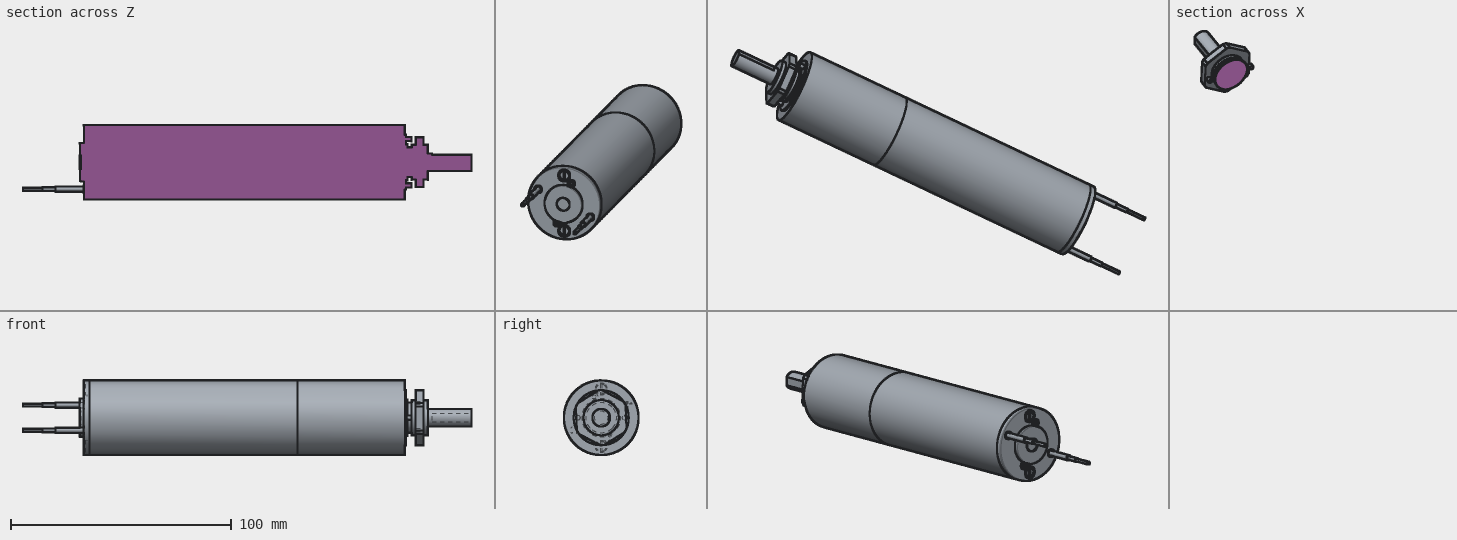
import cadquery as cq
import math


gearbox_diameter = 34.0
motor_diameter = 33.99
gearbox_length = 48.7
motor_length = 94.4
end_cap_length = 2.6
end_cap_edge_radius = 0.3
motor_rear_x = -(gearbox_length + motor_length)
rear_face_x = motor_rear_x - end_cap_length

rear_boss_diameter = 17.5
rear_boss_length = 1.8
rear_boss_edge_radius = 0.2
bearing_hole_diameter = 6.0
bearing_hole_depth = 0.5

screw_pitch_radius = 13.0
screw_recess_diameter = 5.5
screw_recess_depth = 0.8
screw_head_diameter = 4.6
screw_head_height = 0.6
screw_slot_width = 0.6
screw_slot_depth = 0.4

cap_hole_diameter = 1.8
cap_hole_depth = 1.5
cap_counterbore_diameter = 3.5
cap_counterbore_depth = 0.5
cap_hole_pitch_radius = 10.0
cap_hole_angle = 109.0

lead_reach = 27.6
lead_pitch_radius = 13.5
lead_recess_diameter = 3.5
lead_recess_depth = 0.5
lead_angle = 25.0
insulation_diameter = 2.5
inner_sleeve_diameter = 1.8
conductor_diameter = 1.4
inner_sleeve_length = 5.8
conductor_length = 9.0
insulation_length = lead_reach - inner_sleeve_length - conductor_length

flange_diameter = 25.0
flange_thickness = 0.6
collar_diameter = 16.5
collar_thickness = 0.6
neck_diameter = 13.8
neck_length = 1.9
bushing_diameter = 16.0
bushing_length = 7.3
collar_x = flange_thickness
neck_x = collar_x + collar_thickness
bushing_x = neck_x + neck_length
bushing_end_x = bushing_x + bushing_length

pin_diameter = 2.0
pin_length = 2.5
pin_pitch_radius = 10.5

nut_width_across_flats = 22.5
nut_corner_diameter = 25.0
nut_thickness = 3.6
nut_x = 4.9
nut_turn = 2.4

shaft_diameter = 8.0
shaft_end_x = 30.3
shaft_flat_offset = 3.5
shaft_flat_start_x = bushing_end_x + 2.0


def cylinder(diameter, start_x, length, y=0.0, z=0.0):
    """Cylinder along +X from start_x, centred on (y, z)."""
    return cq.Workplane("YZ", origin=(start_x, y, z)).circle(diameter / 2).extrude(length)


def polar(radius, angle):
    """(y, z) of a point on a pitch circle, angle measured from +Y towards +Z."""
    turn = math.radians(angle)
    return radius * math.cos(turn), radius * math.sin(turn)


def rounded_disc(diameter, start_x, length, edge_radius):
    """Disc along +X from start_x with its rear edge rounded."""
    return cylinder(diameter, start_x, length).faces("<X").edges().fillet(edge_radius)


def make_housing():
    cap = rounded_disc(gearbox_diameter, rear_face_x, end_cap_length, end_cap_edge_radius)
    motor = cylinder(motor_diameter, motor_rear_x, motor_length)
    gearbox = cylinder(gearbox_diameter, -gearbox_length, gearbox_length)
    boss_x = rear_face_x - rear_boss_length
    boss = rounded_disc(rear_boss_diameter, boss_x, rear_boss_length, rear_boss_edge_radius)
    bearing_hole = cylinder(bearing_hole_diameter, boss_x, bearing_hole_depth)
    return cap.union(motor).union(gearbox).union(boss).cut(bearing_hole)


def sink_screw(body, z):
    """Sink a round recess with a slotted screw head standing on its floor."""
    floor_x = rear_face_x + screw_recess_depth
    head_x = floor_x - screw_head_height
    recess = cylinder(screw_recess_diameter, rear_face_x, screw_recess_depth, z=z)
    head = cylinder(screw_head_diameter, head_x, screw_head_height, z=z)
    slot = (
        cq.Workplane("XY")
        .box(screw_slot_depth, screw_slot_width, screw_head_diameter, centered=(False, True, True))
        .translate((head_x, 0, z))
    )
    return body.cut(recess.cut(head.cut(slot)))


def drill_cap_hole(body, y, z):
    """Drill a counterbored blind hole into the end cap, partly under the rear boss."""
    hole = cylinder(cap_hole_diameter, rear_face_x, cap_hole_depth, y, z)
    counterbore = cylinder(cap_counterbore_diameter, rear_face_x, cap_counterbore_depth, y, z)
    return body.cut(hole.union(counterbore))


def add_lead(body, y, z):
    """Add a lead wire that stands in a shallow recess of the end cap."""
    recess = cylinder(lead_recess_diameter, rear_face_x, lead_recess_depth, y, z)
    insulation_x = rear_face_x - insulation_length
    sleeve_x = insulation_x - inner_sleeve_length
    conductor_x = sleeve_x - conductor_length
    insulation = cylinder(insulation_diameter, insulation_x, insulation_length + lead_recess_depth, y, z)
    sleeve = cylinder(inner_sleeve_diameter, sleeve_x, inner_sleeve_length, y, z)
    conductor = cylinder(conductor_diameter, conductor_x, conductor_length, y, z)
    return body.cut(recess).union(insulation).union(sleeve).union(conductor)


def make_front_mount():
    flange = cylinder(flange_diameter, 0, flange_thickness)
    collar = cylinder(collar_diameter, collar_x, collar_thickness)
    neck = cylinder(neck_diameter, neck_x, neck_length)
    bushing = cylinder(bushing_diameter, bushing_x, bushing_length)
    return flange.union(collar).union(neck).union(bushing)


def make_nut():
    hexagon_diameter = nut_width_across_flats / math.cos(math.pi / 6)
    hexagon = (
        cq.Workplane("YZ", origin=(nut_x, 0, 0))
        .transformed(rotate=(0, 0, 30 + nut_turn))
        .polygon(6, hexagon_diameter)
        .extrude(nut_thickness)
    )
    return hexagon.intersect(cylinder(nut_corner_diameter, nut_x, nut_thickness))


def make_shaft():
    shaft = cylinder(shaft_diameter, bushing_end_x, shaft_end_x - bushing_end_x)
    flat_cut = (
        cq.Workplane("XY")
        .box(shaft_end_x - shaft_flat_start_x, shaft_diameter, shaft_diameter, centered=(False, False, True))
        .translate((shaft_flat_start_x, shaft_flat_offset, 0))
    )
    return shaft.cut(flat_cut)


result = make_housing().union(make_front_mount()).union(make_nut()).union(make_shaft())

for side in (-1, 1):
    result = sink_screw(result, side * screw_pitch_radius)
    result = drill_cap_hole(result, *polar(side * cap_hole_pitch_radius, cap_hole_angle))
    result = add_lead(result, *polar(side * lead_pitch_radius, lead_angle))
    result = result.union(cylinder(pin_diameter, flange_thickness, pin_length, y=side * pin_pitch_radius))